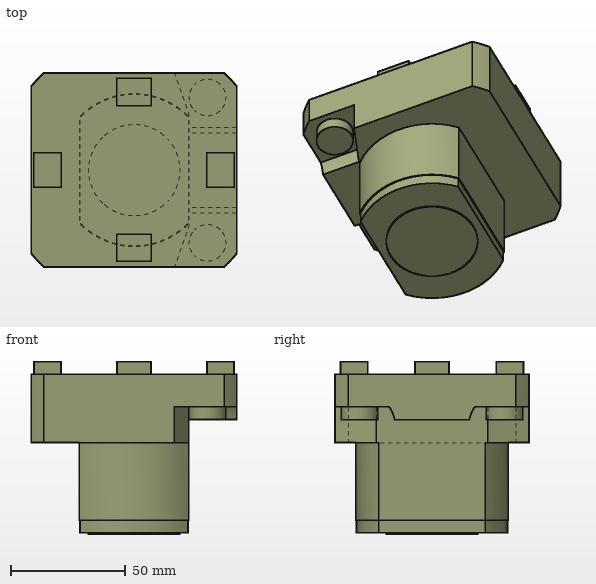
import cadquery as cq
import math

block_length = 90.0
block_width = 85.0
block_height = 30.0
corner_diameter = 115.9

key_height = 5.5
key_depth = 12.0
key_width = 15.0
key_reach_x = 43.8
key_reach_y = 40.05

neck_diameter = 67.0
neck_across_flats = 48.0
neck_height = 34.0
collar_inset = 0.4
collar_height = 5.5
disc_diameter = 40.0
disc_height = 0.5

boss_diameter = 16.0
boss_height = 5.6
boss_x = 32.0
boss_y = 31.8
corner_thickness = 14.3
ledge_thickness = corner_thickness + boss_height
pocket_start_x = 17.6
pocket_wall_inner_y = 24.3
relief_start_x = neck_across_flats / 2

ledge_arc_diameter = 31.6
ledge_arc_radius = ledge_arc_diameter / 2
arc_foot_angle = math.radians(12)
arc_top_angle = math.asin(math.sin(arc_foot_angle) + boss_height / ledge_arc_radius)
arc_mid_angle = (arc_foot_angle + arc_top_angle) / 2
pocket_inner_y = boss_y - ledge_arc_radius * math.cos(arc_foot_angle)


def make_block():
    block = cq.Workplane("XY").rect(block_length, block_width).extrude(-block_height)
    turned = cq.Workplane("XY").circle(corner_diameter / 2).extrude(-block_height)
    return block.intersect(turned)


def make_relief():
    """Material removed below the ledge that spans the +X end."""
    return (
        cq.Workplane("XY", origin=(0, 0, -ledge_thickness))
        .moveTo(relief_start_x, -block_width / 2)
        .lineTo(block_length / 2, -block_width / 2)
        .lineTo(block_length / 2, block_width / 2)
        .lineTo(relief_start_x, block_width / 2)
        .close()
        .extrude(ledge_thickness - block_height)
    )


def make_corner_wedge(side):
    """Full-depth corner clearance with a slanted wall; side is -1 or 1 along Y."""
    return (
        cq.Workplane("XY", origin=(0, 0, -corner_thickness))
        .moveTo(pocket_start_x, side * block_width / 2)
        .lineTo(relief_start_x, side * pocket_wall_inner_y)
        .lineTo(relief_start_x, side * block_width / 2)
        .close()
        .extrude(corner_thickness - block_height)
    )


def arc_point_offset(angle):
    """Distance along Y from the foot of the ledge arc to its point at this angle."""
    return ledge_arc_radius * (math.cos(arc_foot_angle) - math.cos(angle))


def arc_point_rise(angle):
    """Height above the foot of the ledge arc of its point at this angle."""
    return ledge_arc_radius * (math.sin(angle) - math.sin(arc_foot_angle))


def make_corner_pocket(side):
    """Shallow pocket beside the ledge, whose front is a concave, sharp-edged arc."""
    outer_y = side * block_width / 2
    inner_y = side * pocket_inner_y
    start_y = inner_y + side * arc_point_offset(arc_top_angle)
    mid_y = inner_y + side * arc_point_offset(arc_mid_angle)
    mid_z = -ledge_thickness + arc_point_rise(arc_mid_angle)
    return (
        cq.Workplane("YZ", origin=(relief_start_x, 0, 0))
        .moveTo(outer_y, -corner_thickness)
        .lineTo(start_y, -corner_thickness)
        .threePointArc((mid_y, mid_z), (inner_y, -ledge_thickness))
        .lineTo(outer_y, -ledge_thickness)
        .close()
        .extrude(block_length / 2 - relief_start_x)
    )


def make_boss(side):
    return (
        cq.Workplane("XY", origin=(boss_x, side * boss_y, -corner_thickness))
        .circle(boss_diameter / 2)
        .extrude(-boss_height)
    )


def make_flatted_cylinder(diameter, across_flats, top, height):
    """Vertical cylinder with two flats facing -X and +X."""
    base = cq.Workplane("XY", origin=(0, 0, top))
    cylinder = base.circle(diameter / 2).extrude(-height)
    return cylinder.intersect(base.rect(across_flats, diameter).extrude(-height))


def make_key(x, y, size_x, size_y):
    return cq.Workplane("XY").center(x, y).rect(size_x, size_y).extrude(key_height)


result = make_block().cut(make_relief())

for side in (-1, 1):
    result = result.cut(make_corner_wedge(side)).cut(make_corner_pocket(side))
    result = result.union(make_boss(side))

    key_x = side * (key_reach_x - key_depth / 2)
    key_y = side * (key_reach_y - key_depth / 2)
    result = result.union(make_key(key_x, 0, key_depth, key_width))
    result = result.union(make_key(0, key_y, key_width, key_depth))

collar_top = -block_height - neck_height
disc_top = collar_top - collar_height
neck = make_flatted_cylinder(neck_diameter, neck_across_flats, -block_height, neck_height)
collar = make_flatted_cylinder(
    neck_diameter - 2 * collar_inset,
    neck_across_flats - 2 * collar_inset,
    collar_top,
    collar_height,
)
disc = cq.Workplane("XY", origin=(0, 0, disc_top)).circle(disc_diameter / 2).extrude(-disc_height)
result = result.union(neck).union(collar).union(disc)